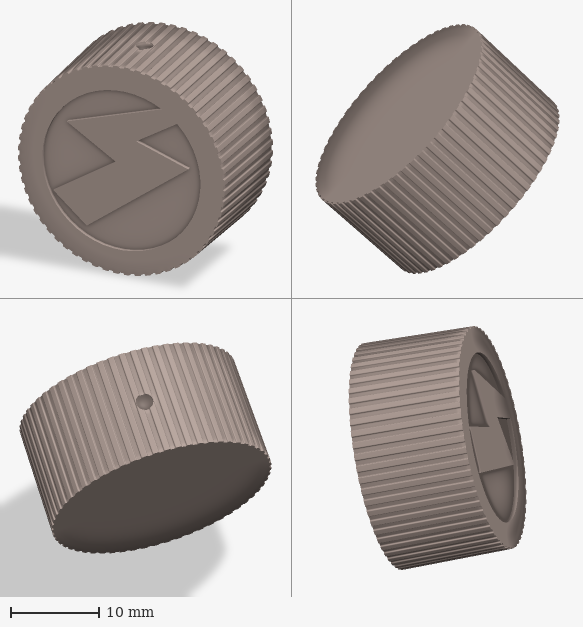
import cadquery as cq
import math

OUTER_WIDTH = 26.05
KNOB_LENGTH = 13.0
TAPER_ANGLE = 1.0

GROOVE_COUNT = 60
GROOVE_WIDTH = 0.6
GROOVE_DEPTH = 0.2
GROOVE_FILLET = GROOVE_DEPTH / 2
HALF_OPENING = GROOVE_WIDTH / 2 + GROOVE_FILLET
HALF_FLOOR = GROOVE_WIDTH / 2 - GROOVE_FILLET

RECESS_RADIUS = 9.8
RECESS_DEPTH = 0.5
BOLT_POINTS = [
    (6.25, 8.8),
    (-6.77, 4.9),
    (-0.68, 0.96),
    (-8.44, -3.85),
    (-4.3, -7.53),
    (8.28, 1.6),
    (1.82, 3.93),
    (8.07, 7.65),
]

DIMPLE_RADIUS = 1.0

BACK_RADIUS = math.hypot(OUTER_WIDTH / 2, HALF_OPENING)
TAPER_SLOPE = math.tan(math.radians(TAPER_ANGLE))
FRONT_RADIUS = BACK_RADIUS - KNOB_LENGTH * TAPER_SLOPE
MID_RADIUS = (BACK_RADIUS + FRONT_RADIUS) / 2
FRONT_Y = -KNOB_LENGTH / 2


def front_plane(y):
    """Plane across the axis, facing -Y, with X to the right and Z up."""
    return cq.Plane(origin=(0, y, 0), xDir=(1, 0, 0), normal=(0, -1, 0))


def turned(point, angle):
    """Turn a (radial, sideways) point about the knob axis."""
    radial, sideways = point
    return (
        radial * math.cos(angle) - sideways * math.sin(angle),
        radial * math.sin(angle) + sideways * math.cos(angle),
    )


def knurled_wire(radius, y):
    """Closed outline of tooth arcs and round-cornered grooves on a given radius."""
    pitch = 2 * math.pi / GROOVE_COUNT
    mouth = math.sqrt(radius**2 - HALF_OPENING**2)
    floor = mouth - GROOVE_DEPTH
    half_width = GROOVE_WIDTH / 2
    arc_sag = GROOVE_FILLET * (1 - math.sqrt(0.5))

    tooth_end = (mouth, HALF_OPENING)
    edge_arc = (mouth - arc_sag, half_width + arc_sag)
    wall = (mouth - GROOVE_FILLET, half_width)
    corner_arc = (floor + arc_sag, half_width - arc_sag)
    floor_end = (floor, HALF_FLOOR)

    def mirrored(point):
        return (point[0], -point[1])

    outline = cq.Workplane(front_plane(y)).moveTo(*mirrored(tooth_end))
    for index in range(GROOVE_COUNT):
        angle = index * pitch
        outline = outline.threePointArc(
            turned(mirrored(edge_arc), angle),
            turned(mirrored(wall), angle),
        )
        outline = outline.threePointArc(
            turned(mirrored(corner_arc), angle),
            turned(mirrored(floor_end), angle),
        )
        outline = outline.lineTo(*turned(floor_end, angle))
        outline = outline.threePointArc(turned(corner_arc, angle), turned(wall, angle))
        outline = outline.threePointArc(turned(edge_arc, angle), turned(tooth_end, angle))
        outline = outline.threePointArc(
            turned((radius, 0), angle + pitch / 2),
            turned(mirrored(tooth_end), angle + pitch),
        )
    return outline.close().val()


def knurled_body():
    back = knurled_wire(BACK_RADIUS, FRONT_Y + KNOB_LENGTH)
    front = knurled_wire(FRONT_RADIUS, FRONT_Y)
    return cq.Workplane(cq.Solid.makeLoft([back, front], True))


def face_recess():
    disc = cq.Workplane(front_plane(FRONT_Y)).circle(RECESS_RADIUS).extrude(-RECESS_DEPTH)
    bolt = cq.Workplane(front_plane(FRONT_Y)).polyline(BOLT_POINTS).close().extrude(-RECESS_DEPTH)
    return disc.cut(bolt)


def index_dimple():
    return cq.Workplane().sphere(DIMPLE_RADIUS).translate((0, 0, MID_RADIUS))


result = knurled_body().cut(face_recess()).cut(index_dimple())